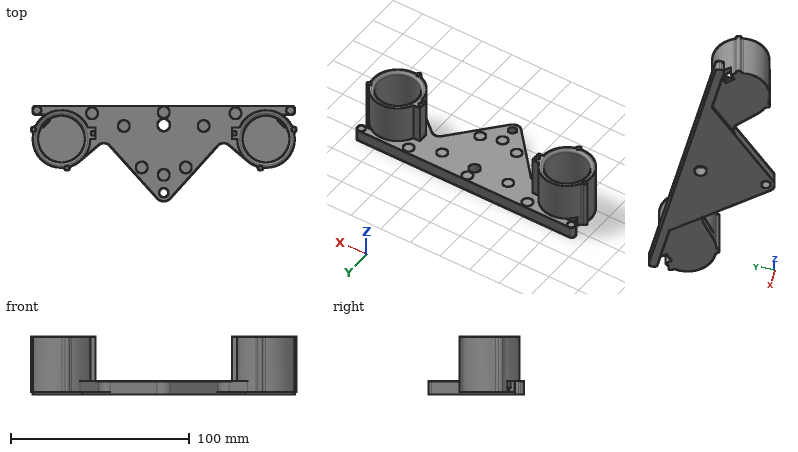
import cadquery as cq
import math


plate_top = 7.5
base_layer = 1.3
front_tip_y = -53.4
tip_radius = 4.9
tip_center_y = front_tip_y + tip_radius
flank_angle = math.radians(48)
arm_depth = 5.0
arm_end_x = -73.3
arm_corner_radius = 2.0

cup_x = -57.1
cup_y = -18.5
cup_diameter = 32.2
cup_radius = cup_diameter / 2
cup_top = 32.3
cup_height = cup_top - base_layer
bore_radius = 13.0
rim_fillet = 1.6
floor_top = 4.0

web_angle = math.radians(40.5)
web_fillet = 4.5

rib_radius = 1.5
rib_distance = 16.5
rib_angles = (-79.0, 161.0)
rib_fillet = 1.8

block_end_x = -38.0
block_width = 6.4

notch_width = 5.5
notch_inner = 12.0
notch_direction = 135.0

mount_hole_y = -10.7
mount_hole_radius = 3.4
tip_hole_radius = 2.5

plate_recess_depth = 0.07
plate_recess_radius = 3.3
center_recess_places = ((0, -3.5), (0, -38.5))
side_recess_places = ((-40.0, -4.2), (-22.3, -11.3), (-12.3, -34.4))
arm_recess_radius = 2.4
arm_recess_place = (-70.8, -arm_depth / 2)
post_recess_depth = 0.22
post_recess_radius = 1.26
block_recess_inset = 1.5


def mirrored(shape):
    """The shape together with its mirror image across X = 0."""
    return shape.union(shape.mirror("YZ"))


def cylinder(place, radius, bottom, top):
    return cq.Workplane("XY", origin=(*place, bottom)).circle(radius).extrude(top - bottom)


def at_cup(shape, direction=0):
    """Move a shape built around the origin to the cup axis, turned to a direction in degrees."""
    return shape.rotate((0, 0, 0), (0, 0, 1), direction).translate((cup_x, cup_y, 0))


flank_touch_x = -tip_radius * math.sin(flank_angle)
flank_touch_y = tip_center_y - tip_radius * math.cos(flank_angle)
flank_back_x = flank_touch_x + flank_touch_y / math.tan(flank_angle)

web_touch_x = cup_x + cup_radius * math.sin(web_angle)
web_touch_y = cup_y - cup_radius * math.cos(web_angle)
web_slope = math.tan(web_angle)
flank_slope = math.tan(flank_angle)
web_offset = web_slope * web_touch_x - web_touch_y
web_corner_x = (web_offset + flank_slope * flank_back_x) / (web_slope + flank_slope)
web_corner_y = -flank_slope * (web_corner_x - flank_back_x)


def make_arrow(bottom, top):
    """Middle of the plate: a triangle with a round front tip."""
    return (
        cq.Workplane("XY", origin=(0, 0, bottom))
        .moveTo(flank_back_x, 0)
        .lineTo(flank_touch_x, flank_touch_y)
        .threePointArc((0, front_tip_y), (-flank_touch_x, flank_touch_y))
        .lineTo(-flank_back_x, 0)
        .close()
        .extrude(top - bottom)
    )


def make_arms():
    """Straight bar along the back edge, with rounded corners."""
    return (
        cq.Workplane("XY", origin=(0, -arm_depth / 2, 0))
        .rect(-2 * arm_end_x, arm_depth)
        .extrude(plate_top)
        .edges("|Z")
        .fillet(arm_corner_radius)
    )


def make_upper_layer():
    """Arrow widened by the webs, with the inner corners between web and flank rounded."""
    web = (
        cq.Workplane("XY", origin=(0, 0, base_layer))
        .moveTo(cup_x, cup_y)
        .lineTo(web_touch_x, web_touch_y)
        .lineTo(web_corner_x, web_corner_y)
        .lineTo(web_corner_x, 0)
        .lineTo(cup_x, 0)
        .close()
        .extrude(plate_top - base_layer)
    )
    layer = make_arrow(base_layer, plate_top).union(mirrored(web))
    middle_z = (base_layer + plate_top) / 2
    for x in (web_corner_x, -web_corner_x):
        corner = cq.selectors.NearestToPointSelector((x, web_corner_y, middle_z))
        layer = layer.edges(corner).fillet(web_fillet)
    return layer


def make_ribbed_wall():
    """Solid cup body with its round ribs, each blended into the wall on both sides."""
    wall = cylinder((0, 0), cup_radius, base_layer, cup_top)
    for angle in rib_angles:
        axis = math.radians(angle)
        place = (rib_distance * math.cos(axis), rib_distance * math.sin(axis))
        wall = wall.union(cylinder(place, rib_radius, base_layer, cup_top))

    crossing_cosine = (cup_radius**2 + rib_distance**2 - rib_radius**2) / (2 * cup_radius * rib_distance)
    crossing = math.acos(crossing_cosine)
    middle_z = base_layer + cup_height / 2
    for angle in rib_angles:
        for side in (-1, 1):
            direction = math.radians(angle) + side * crossing
            seam_point = (cup_radius * math.cos(direction), cup_radius * math.sin(direction), middle_z)
            seam = cq.selectors.NearestToPointSelector(seam_point)
            wall = wall.edges(seam).fillet(rib_fillet)
    return at_cup(wall)


def make_block():
    """Square block from the cup axis outwards, with its front face level with the axis."""
    return (
        cq.Workplane("XY", origin=(cup_x, cup_y, base_layer))
        .rect(block_end_x - cup_x, block_width, centered=False)
        .extrude(cup_height)
    )


def make_bore():
    """Space inside the cup, flaring out at the rim along a convex quarter round."""
    flare_start = cup_top - rim_fillet
    flare_radius = bore_radius + rim_fillet
    diagonal = rim_fillet * math.sqrt(0.5)
    bore = (
        cq.Workplane("XZ")
        .moveTo(0, floor_top)
        .lineTo(bore_radius, floor_top)
        .lineTo(bore_radius, flare_start)
        .threePointArc((flare_radius - diagonal, flare_start + diagonal), (flare_radius, cup_top))
        .lineTo(0, cup_top)
        .close()
        .revolve(360, (0, 0, 0), (0, 1, 0))
    )
    return at_cup(bore)


def make_notch():
    length = cup_radius - notch_inner
    notch = (
        cq.Workplane("XY", origin=(notch_inner + length / 2, 0, base_layer))
        .rect(length, notch_width)
        .extrude(plate_top - base_layer)
    )
    return at_cup(notch, notch_direction)


def cut_recesses(body):
    recess_floor = plate_top - plate_recess_depth
    for place in center_recess_places:
        body = body.cut(cylinder(place, plate_recess_radius, recess_floor, plate_top))
    for place in side_recess_places:
        body = body.cut(mirrored(cylinder(place, plate_recess_radius, recess_floor, plate_top)))
    body = body.cut(mirrored(cylinder(arm_recess_place, arm_recess_radius, recess_floor, plate_top)))

    post_places = [(block_end_x - block_recess_inset, cup_y + block_width / 2)]
    for angle in rib_angles:
        axis = math.radians(angle)
        post_places.append((cup_x + rib_distance * math.cos(axis), cup_y + rib_distance * math.sin(axis)))
    for place in post_places:
        recess = cylinder(place, post_recess_radius, cup_top - post_recess_depth, cup_top)
        body = body.cut(mirrored(recess))
    return body


plate = make_arrow(0, base_layer).union(make_upper_layer()).union(make_arms())
cups = mirrored(make_ribbed_wall().union(make_block()))
body = plate.union(cups).cut(mirrored(make_bore())).cut(mirrored(make_notch()))
body = body.cut(cylinder((0, mount_hole_y), mount_hole_radius, 0, plate_top))
body = body.cut(cylinder((0, tip_center_y), tip_hole_radius, 0, plate_top))
result = cut_recesses(body)